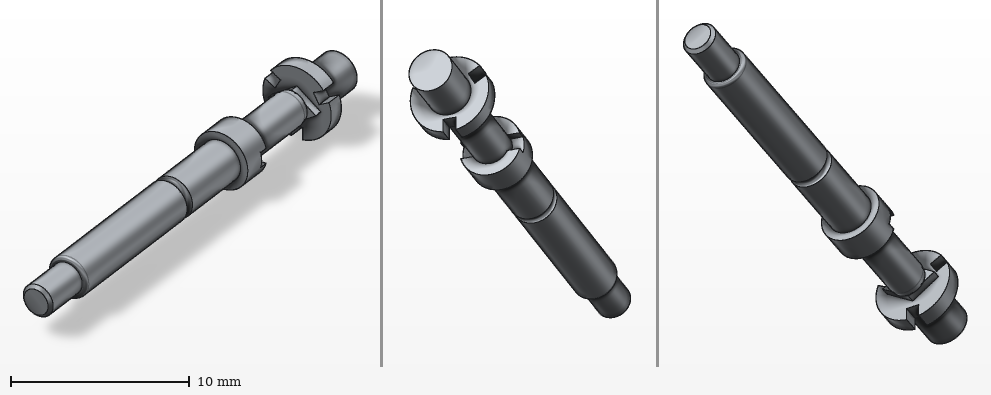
import cadquery as cq

total_length = 29.3
rear_y = total_length / 2
front_y = -total_length / 2

shank_radius = 1.3
shank_length = 3.02
flange_radius = 2.35
flange_thickness = 1.0
flange_slot_width = 0.75
flange_slot_floor = 1.52
flange_slot_angles = (30, 150, 270)

diamond_half_width = 1.65
neck_radius = 2.25 / 2
diamond_thickness = 0.5
neck_lead_radius = 1.05
neck_lead_length = 0.38

collar_radius = 3.65 / 2
collar_length = 1.88
collar_to_rear = 9.5
collar_notch_width = 1.0
collar_notch_depth = 0.53

barrel_radius = 2.67 / 2
groove_centre_to_rear = 16.3
groove_width = 0.53
groove_depth = 0.23
barrel_round = 0.2
tip_radius = 1.03
tip_length = 3.02
tip_chamfer = 0.2

flange_rear = rear_y - shank_length
flange_front = flange_rear - flange_thickness
neck_rear = flange_front - diamond_thickness
collar_rear = rear_y - collar_to_rear
collar_front = collar_rear - collar_length
groove_y = rear_y - groove_centre_to_rear
barrel_front = front_y + tip_length


def turned(profile):
    """Revolve (radius, y) points about the Y axis, closing the outline along the axis."""
    outline = [(0, profile[0][1])] + profile + [(0, profile[-1][1])]
    return cq.Workplane("XY").polyline(outline).close().revolve(360, (0, 0, 0), (0, 1, 0))


def disc(radius, rear, front):
    """Solid cylinder about the Y axis between two stations."""
    return turned([(radius, rear), (radius, front)])


def make_flange():
    """Round flange with three radial slots that have flat floors."""
    flange = disc(flange_radius, flange_rear, flange_front)
    slot = cq.Workplane("XY").box(
        flange_radius, flange_thickness, flange_slot_width, centered=(False, True, True)
    )
    slot = slot.translate((flange_slot_floor, (flange_rear + flange_front) / 2, 0))
    for angle in flange_slot_angles:
        flange = flange.cut(slot.rotate((0, 0, 0), (0, 1, 0), -angle))
    return flange


def make_diamond():
    """Diamond-shaped key whose side tips stand out past the neck."""
    corners = [
        (diamond_half_width, 0),
        (0, neck_radius),
        (-diamond_half_width, 0),
        (0, -neck_radius),
    ]
    base = cq.Workplane("XZ", origin=(0, flange_front, 0))
    return base.polyline(corners).close().extrude(diamond_thickness)


def make_neck():
    """Neck with a slightly tapered start next to the diamond."""
    return turned([
        (neck_lead_radius, neck_rear),
        (neck_radius, neck_rear - neck_lead_length),
        (neck_radius, collar_front),
    ])


def make_collar():
    """Collar with a notch across its rear face on both sides of the neck."""
    collar = disc(collar_radius, collar_rear, collar_front)
    notch = cq.Workplane("XY").box(2 * collar_radius, 2 * collar_notch_depth, collar_notch_width)
    return collar.cut(notch.translate((0, collar_rear, 0)))


def make_groove():
    """Ring that leaves a groove with an arc-shaped section in the barrel."""
    rear_edge = groove_y + groove_width / 2
    front_edge = groove_y - groove_width / 2
    return (
        cq.Workplane("XY")
        .moveTo(barrel_radius, rear_edge)
        .threePointArc((barrel_radius - groove_depth, groove_y), (barrel_radius, front_edge))
        .lineTo(collar_radius, front_edge)
        .lineTo(collar_radius, rear_edge)
        .close()
        .revolve(360, (0, 0, 0), (0, 1, 0))
    )


def make_barrel_and_tip():
    """Grooved barrel and slimmer tip, with a rounded barrel rim and a chamfered tip."""
    barrel = disc(barrel_radius, collar_front, barrel_front)
    barrel = barrel.faces("<Y").edges().fillet(barrel_round)
    tip = disc(tip_radius, barrel_front, front_y)
    tip = tip.faces("<Y").edges().chamfer(tip_chamfer)
    return barrel.cut(make_groove()).union(tip)


result = (
    disc(shank_radius, rear_y, flange_rear)
    .union(make_flange())
    .union(make_diamond())
    .union(make_neck())
    .union(make_collar())
    .union(make_barrel_and_tip())
)